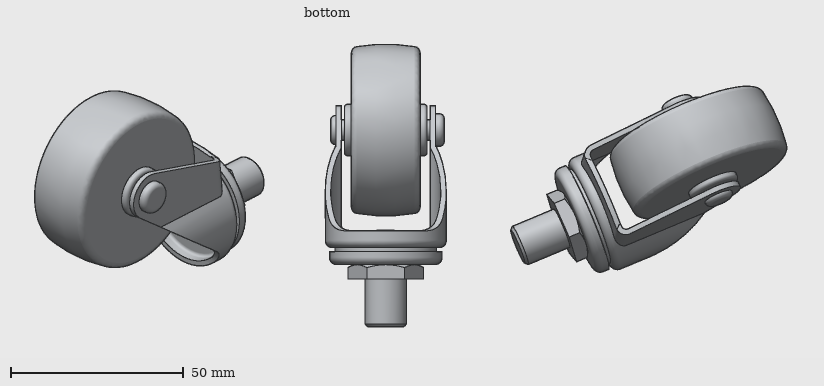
import cadquery as cq
import math


axle_y = -34.0
axle_z = 22.0

wheel_radius = 24.9
wheel_width = 20.0
crown_radius = 49.1
tread_fillet = 2.0
hub_diameter = 15.0
hub_width = 24.0
hub_fillet = 1.0

sheet = 1.595
cup_diameter = 35.0
cup_fillet = 2.05
cavity_fillet = 1.0
cup_rim_y = -4.8
fork_half_width = 14.4
bend_inner_radius = 1.5
back_tilt = 6.0
back_offset = 1.1
arm_end_radius = 7.0
arm_top_angle = 14.7
arm_bottom_angle = 37.0
rim_blend_radius = 10.0
arch_top_z = 22.9
arch_radius = 40.9
arch_depth = 6.55

neck_diameter = 29.45
neck_height = 1.15
race_diameter = 32.6
race_top_y = 4.9
race_fillet = 2.05
nut_flats = 19.0
nut_top_y = 9.1
nut_chamfer_angle = 30.0
stud_diameter = 12.0
stud_top_y = 22.9
stud_chamfer = 0.8

shaft_diameter = 6.0
formed_head_diameter = 8.5
formed_head_height = 1.55
formed_head_fillet = 1.5
factory_head_diameter = 9.5
factory_head_height = 2.5
factory_head_fillet = 1.5

cup_radius = cup_diameter / 2
cavity_radius = cup_radius - sheet


def cylinder_y(diameter, y_low, y_high):
    """Cylinder on the stem axis between two Y positions."""
    return cq.Workplane("XZ", origin=(0, y_low, 0)).circle(diameter / 2).extrude(y_low - y_high)


def cylinder_x(diameter, x_low, x_high):
    """Cylinder on the wheel axis between two X positions."""
    plane = cq.Workplane("YZ", origin=(x_low, axle_y, axle_z))
    return plane.circle(diameter / 2).extrude(x_high - x_low)


def make_wheel():
    half = wheel_width / 2
    crown_drop = crown_radius - math.sqrt(crown_radius**2 - half**2)
    shoulder = wheel_radius - crown_drop
    tread = (
        cq.Workplane("XY")
        .moveTo(-half, 0)
        .lineTo(-half, shoulder)
        .threePointArc((0, wheel_radius), (half, shoulder))
        .lineTo(half, 0)
        .close()
        .revolve(360, (0, 0, 0), (1, 0, 0))
        .faces("<X or >X")
        .edges()
        .fillet(tread_fillet)
        .translate((0, axle_y, axle_z))
    )
    hub = cylinder_x(hub_diameter, -hub_width / 2, hub_width / 2)
    hub = hub.faces("<X or >X").edges().fillet(hub_fillet)
    bore = cylinder_x(shaft_diameter, -hub_width / 2, hub_width / 2)
    return tread.union(hub).cut(bore)


def channel_block(half_width, depth, corner_radius):
    """Block open toward -Y with a leaning, round-cornered back face, above the stem axis."""
    reach_y = axle_y - 2 * arm_end_radius
    height = axle_z + 2 * arm_end_radius
    lean = height * math.tan(math.radians(back_tilt))
    return (
        cq.Workplane("YZ", origin=(-half_width, 0, 0))
        .polyline([(-depth, 0), (-depth - lean, height), (reach_y, height), (reach_y, 0)])
        .close()
        .extrude(2 * half_width)
        .faces(">Y")
        .edges("not |X")
        .fillet(corner_radius)
    )


def fork_side_envelope():
    """Side outline of the fork across its full width: cup rim, blend, and tapering arms."""
    top = math.radians(arm_top_angle)
    bottom = math.radians(arm_bottom_angle)

    top_y = axle_y + arm_end_radius * math.sin(top)
    top_z = axle_z + arm_end_radius * math.cos(top)
    bottom_y = axle_y - arm_end_radius * math.sin(bottom)
    bottom_z = axle_z - arm_end_radius * math.cos(bottom)

    back_z = top_z + top_y * math.tan(top)

    corner_z = bottom_z - (cup_rim_y - bottom_y) * math.tan(bottom)
    tangent_length = rim_blend_radius * math.tan((math.pi / 2 - bottom) / 2)
    rim_z = corner_z - tangent_length
    blend_y = cup_rim_y - tangent_length * math.cos(bottom)
    blend_z = corner_z + tangent_length * math.sin(bottom)
    blend_mid_angle = (math.pi / 2 - bottom) / 2
    blend_mid = (
        cup_rim_y - rim_blend_radius * (1 - math.cos(blend_mid_angle)),
        rim_z + rim_blend_radius * math.sin(blend_mid_angle),
    )

    return (
        cq.Workplane("YZ", origin=(-cup_radius, 0, 0))
        .moveTo(0, -cup_radius)
        .lineTo(cup_rim_y, -cup_radius)
        .lineTo(cup_rim_y, rim_z)
        .threePointArc(blend_mid, (blend_y, blend_z))
        .lineTo(bottom_y, bottom_z)
        .threePointArc((axle_y - arm_end_radius, axle_z), (top_y, top_z))
        .lineTo(0, back_z)
        .close()
        .extrude(cup_diameter)
    )


def back_plate_arch():
    """Arched region that lets the back plate rise above the arm edges."""
    arch = cylinder_y(2 * arch_radius, -arch_depth, 0).translate((0, 0, arch_top_z - arch_radius))
    limit = cq.Workplane("XY").box(
        2 * fork_half_width, 2 * arch_depth, arch_top_z, centered=(True, True, False)
    )
    return arch.intersect(limit)


def make_fork():
    fork_reach = axle_y - 2 * arm_end_radius
    shell = cylinder_y(cup_diameter, fork_reach, 0).faces(">Y").edges().fillet(cup_fillet)
    shell = shell.union(channel_block(fork_half_width, back_offset, bend_inner_radius + sheet))

    cavity = cylinder_y(2 * cavity_radius, fork_reach, -sheet)
    cavity = cavity.faces(">Y").edges().fillet(cavity_fillet)
    shell = shell.cut(cavity)
    inner_half = fork_half_width - sheet
    shell = shell.cut(channel_block(inner_half, back_offset + sheet, bend_inner_radius))

    shell = shell.intersect(fork_side_envelope().union(back_plate_arch()))
    return shell.cut(cylinder_x(shaft_diameter, -fork_half_width, fork_half_width))


def make_nut():
    corners_diameter = nut_flats / math.cos(math.pi / 6)
    height = nut_top_y - race_top_y
    hexagon = (
        cq.Workplane("XZ", origin=(0, race_top_y, 0))
        .polygon(6, corners_diameter)
        .extrude(-height)
    )
    corner_radius = corners_diameter / 2
    flat_radius = nut_flats / 2
    chamfer = (corner_radius - flat_radius) * math.tan(math.radians(nut_chamfer_angle))
    turned = (
        cq.Workplane("XY")
        .polyline([
            (0, race_top_y),
            (flat_radius, race_top_y),
            (corner_radius, race_top_y + chamfer),
            (corner_radius, nut_top_y),
            (0, nut_top_y),
        ])
        .close()
        .revolve(360, (0, 0, 0), (0, 1, 0))
    )
    return hexagon.intersect(turned)


def make_stem():
    neck = cylinder_y(neck_diameter, 0, neck_height)
    race = cylinder_y(race_diameter, neck_height, race_top_y)
    race = race.faces(">Y").edges().fillet(race_fillet)
    stud = cylinder_y(stud_diameter, race_top_y, stud_top_y)
    stud = stud.faces(">Y").edges().chamfer(stud_chamfer)
    return neck.union(race).union(make_nut()).union(stud)


def make_frame():
    """Fork and stem as one solid."""
    return make_fork().union(make_stem())


def make_axle():
    shaft = cylinder_x(shaft_diameter, -fork_half_width, fork_half_width)
    formed_head = (
        cylinder_x(formed_head_diameter, -fork_half_width - formed_head_height, -fork_half_width)
        .faces("<X")
        .edges()
        .fillet(formed_head_fillet)
    )
    factory_head = (
        cylinder_x(factory_head_diameter, fork_half_width, fork_half_width + factory_head_height)
        .faces(">X")
        .edges()
        .fillet(factory_head_fillet)
    )
    return shaft.union(formed_head).union(factory_head)


frame = make_frame()
wheel = make_wheel()
axle = make_axle()

result = cq.Compound.makeCompound([body.solids().val() for body in (frame, wheel, axle)])